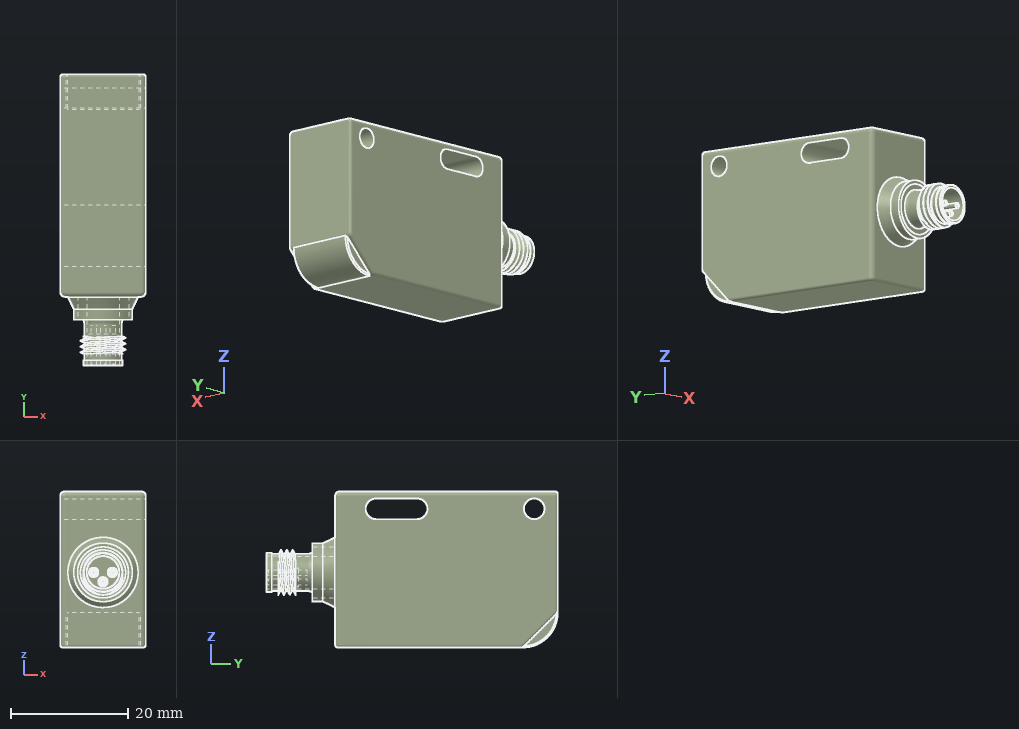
import cadquery as cq
import math

WIDTH = 14.6
LENGTH = 49.7
HEIGHT = 26.65
BACK_Y = LENGTH / 2
TOP_Z = HEIGHT / 2
BOTTOM_Z = -HEIGHT / 2

HOUSING_LENGTH = 37.95
HOUSING_FRONT_Y = BACK_Y - HOUSING_LENGTH
CORNER_CUT = 6.0
FRONT_SIDE_ROUND = 0.9
TOP_ROUND = 0.8
SMALL_ROUND = 0.5
CUT_END_ROUND = 0.9
EDGE_TOLERANCE = 0.005

MOUNT_DIAMETER = 3.5
MOUNT_TOP_DISTANCE = 3.0
MOUNT_Z = TOP_Z - MOUNT_TOP_DISTANCE
HOLE_BACK_DISTANCE = 4.05
HOLE_Y = BACK_Y - HOLE_BACK_DISTANCE
SLOT_LENGTH = 10.5
SLOT_Y = -2.65

LENS_SIDE_INSET = 1.0
LENS_EDGE_CHAMFER = 0.25
LENS_WIDTH = WIDTH - 2 * LENS_SIDE_INSET

AXIS_Z = -0.5
PLUG_LENGTH = LENGTH - HOUSING_LENGTH
COLLAR_CONE_LENGTH = 2.1
COLLAR_LENGTH = 3.9
COLLAR_BASE_DIAMETER = 12.0
COLLAR_DIAMETER = 10.0
FLANGE_DIAMETER = 8.7

SHELL_DIAMETER = 6.4
SHELL_END_DIAMETER = 6.7
SHELL_ROOT_TAPER = 0.6
SHELL_END_LENGTH = 1.0
SHELL_END_CHAMFER = 0.1
SHELL_BORE_DIAMETER = 5.6
INSERT_DIAMETER = 5.5

THREAD_DIAMETER = 7.7
THREAD_PITCH = 1.0
THREAD_TURNS = 3
THREAD_START = 6.7
THREAD_RUN_OUT_TURNS = 0.5
THREAD_BASE_WIDTH = 0.8
THREAD_ROOT_OVERLAP = 0.1

SOCKET_DEPTH = 4.95
SOCKET_FLOOR = PLUG_LENGTH - SOCKET_DEPTH
PIN_DIAMETER = 0.95
PIN_TIP_DIAMETER = 0.45
PIN_TIP_CHAMFER = (PIN_DIAMETER - PIN_TIP_DIAMETER) / 2
PIN_TIP_RECESS = 0.1
PIN_EMBED = 2.0
PIN_FOOT_DIAMETER = 1.45
PIN_RECESS_DIAMETER = 1.65
PIN_RECESS_DEPTH = 0.5
PIN_CIRCLE_RADIUS = 1.6
PIN_ANGLES = (180, 270, 360)


def revolve_about_plug_axis(points):
    """Revolve (radius, distance from housing front) points about the plug axis."""
    profile = cq.Workplane("XY").polyline(points).close()
    body = profile.revolve(360, (0, 0), (0, 1))
    return body.mirror("XZ").translate((0, HOUSING_FRONT_Y, AXIS_Z))


def corner_prism(width):
    """Triangular prism that fills the cut between the back and bottom faces."""
    corner = [
        (BACK_Y, BOTTOM_Z),
        (BACK_Y - CORNER_CUT, BOTTOM_Z),
        (BACK_Y, BOTTOM_Z + CORNER_CUT),
    ]
    return cq.Workplane("YZ").polyline(corner).close().extrude(width / 2, both=True)


def edges_at(body, **place):
    """Edges whose centre matches every coordinate given; x counts on both sides of the middle."""

    def matches(edge):
        centre = edge.Center()
        actual = {"x": abs(centre.x), "y": centre.y, "z": centre.z}
        return all(abs(actual[axis] - value) < EDGE_TOLERANCE for axis, value in place.items())

    return body.newObject([edge for edge in body.edges().vals() if matches(edge)])


def make_housing():
    body = cq.Workplane("XY").box(WIDTH, HOUSING_LENGTH, HEIGHT)
    body = body.translate((0, BACK_Y - HOUSING_LENGTH / 2, 0))
    body = body.cut(corner_prism(WIDTH))

    side_x = WIDTH / 2
    body = edges_at(body, x=side_x, y=HOUSING_FRONT_Y).fillet(FRONT_SIDE_ROUND)
    body = body.faces(">Z").edges("not >Y").fillet(TOP_ROUND)

    cut_ends = edges_at(body, y=BACK_Y, z=BOTTOM_Z + CORNER_CUT)
    cut_ends = cut_ends.add(edges_at(body, y=BACK_Y - CORNER_CUT, z=BOTTOM_Z))
    body = cut_ends.fillet(CUT_END_ROUND)

    small = edges_at(body, y=HOUSING_FRONT_Y, z=BOTTOM_Z)
    small = small.add(edges_at(body, x=side_x, z=BOTTOM_Z))
    small = small.add(edges_at(body, x=side_x, y=BACK_Y))
    small = small.add(edges_at(body, y=BACK_Y, z=TOP_Z))
    small = small.add(edges_at(body, x=side_x, y=BACK_Y - CORNER_CUT / 2))
    body = small.fillet(SMALL_ROUND)

    side = cq.Workplane("YZ")
    hole = side.center(HOLE_Y, MOUNT_Z).circle(MOUNT_DIAMETER / 2).extrude(WIDTH, both=True)
    slot = side.center(SLOT_Y, MOUNT_Z).slot2D(SLOT_LENGTH, MOUNT_DIAMETER).extrude(WIDTH, both=True)
    return body.cut(hole).cut(slot)


def make_lens():
    round_bar = (
        cq.Workplane("YZ")
        .center(BACK_Y - CORNER_CUT, BOTTOM_Z + CORNER_CUT)
        .circle(CORNER_CUT)
        .extrude(LENS_WIDTH / 2, both=True)
    )
    round_bar = round_bar.faces("<X or >X").chamfer(LENS_EDGE_CHAMFER)
    return corner_prism(LENS_WIDTH).intersect(round_bar)


def make_collar():
    bore = FLANGE_DIAMETER / 2
    return revolve_about_plug_axis([
        (bore, 0),
        (COLLAR_BASE_DIAMETER / 2, 0),
        (COLLAR_DIAMETER / 2, COLLAR_CONE_LENGTH),
        (COLLAR_DIAMETER / 2, COLLAR_LENGTH),
        (bore, COLLAR_LENGTH),
    ])


def make_thread():
    """Right-handed triangular thread, cut flat where it runs out past each end of its length."""
    root = SHELL_DIAMETER / 2 - THREAD_ROOT_OVERLAP
    helix_turns = THREAD_TURNS + 2 * THREAD_RUN_OUT_TURNS
    helix = cq.Wire.makeHelix(THREAD_PITCH, THREAD_PITCH * helix_turns, root)
    tooth = (
        cq.Workplane("XZ")
        .moveTo(root, -THREAD_BASE_WIDTH / 2)
        .lineTo(THREAD_DIAMETER / 2, 0)
        .lineTo(root, THREAD_BASE_WIDTH / 2)
        .close()
    )
    thread = tooth.sweep(helix, isFrenet=True)
    thread = thread.rotate((0, 0, 0), (0, 0, 1), 90).rotate((0, 0, 0), (1, 0, 0), 90)
    helix_start = THREAD_START - THREAD_PITCH * THREAD_RUN_OUT_TURNS
    thread = thread.translate((0, HOUSING_FRONT_Y - helix_start, AXIS_Z))

    thread_end = THREAD_START + THREAD_PITCH * THREAD_TURNS
    threaded_length = revolve_about_plug_axis([
        (0, THREAD_START),
        (THREAD_DIAMETER, THREAD_START),
        (THREAD_DIAMETER, thread_end),
        (0, thread_end),
    ])
    return thread.intersect(threaded_length)


def make_shell():
    bore = SHELL_BORE_DIAMETER / 2
    seat = INSERT_DIAMETER / 2
    outer = SHELL_DIAMETER / 2
    end = SHELL_END_DIAMETER / 2
    end_start = PLUG_LENGTH - SHELL_END_LENGTH
    sleeve = revolve_about_plug_axis([
        (seat, 0),
        (FLANGE_DIAMETER / 2, 0),
        (FLANGE_DIAMETER / 2, COLLAR_LENGTH),
        (end, COLLAR_LENGTH),
        (outer, COLLAR_LENGTH + SHELL_ROOT_TAPER),
        (outer, end_start),
        (end, end_start),
        (end, PLUG_LENGTH - SHELL_END_CHAMFER),
        (end - SHELL_END_CHAMFER, PLUG_LENGTH),
        (bore, PLUG_LENGTH),
        (bore, SOCKET_FLOOR),
        (seat, SOCKET_FLOOR),
    ])
    return sleeve.union(make_thread())


def pin_places():
    for angle in PIN_ANGLES:
        turn = math.radians(angle)
        yield PIN_CIRCLE_RADIUS * math.cos(turn), PIN_CIRCLE_RADIUS * math.sin(turn)


def make_pin(x, z):
    radius = PIN_DIAMETER / 2
    tip = PLUG_LENGTH - PIN_TIP_RECESS
    pin = revolve_about_plug_axis([
        (0, SOCKET_FLOOR - PIN_EMBED),
        (radius, SOCKET_FLOOR - PIN_EMBED),
        (radius, SOCKET_FLOOR - PIN_RECESS_DEPTH),
        (PIN_FOOT_DIAMETER / 2, SOCKET_FLOOR - PIN_RECESS_DEPTH),
        (PIN_FOOT_DIAMETER / 2, SOCKET_FLOOR),
        (radius, SOCKET_FLOOR),
        (radius, tip - PIN_TIP_CHAMFER),
        (PIN_TIP_DIAMETER / 2, tip),
        (0, tip),
    ])
    return pin.translate((x, 0, z))


def make_insert(pins):
    radius = INSERT_DIAMETER / 2
    insert = revolve_about_plug_axis([(0, 0), (radius, 0), (radius, SOCKET_FLOOR), (0, SOCKET_FLOOR)])
    recess = PIN_RECESS_DIAMETER / 2
    for (x, z), pin in zip(pin_places(), pins):
        hole = revolve_about_plug_axis([
            (0, SOCKET_FLOOR - PIN_RECESS_DEPTH),
            (recess, SOCKET_FLOOR - PIN_RECESS_DEPTH),
            (recess, SOCKET_FLOOR),
            (0, SOCKET_FLOOR),
        ])
        insert = insert.cut(hole.translate((x, 0, z))).cut(pin)
    return insert


housing = make_housing()
lens = make_lens()
collar = make_collar()
shell = make_shell()
pins = [make_pin(x, z) for x, z in pin_places()]
insert = make_insert(pins)

result = cq.Compound.makeCompound([
    housing.val(),
    lens.val(),
    collar.val(),
    shell.val(),
    insert.val(),
    *[pin.val() for pin in pins],
])